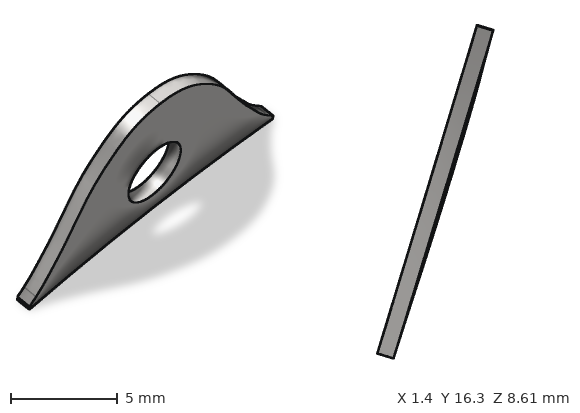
import cadquery as cq
import math

width = 16.34
height = 8.58
thickness = 0.8
tilt_angle = 4.0

half_width = width / 2
base_rise = 0.41
end_height = 0.21
apex = (0, height)
shoulder_mid = (2.76, 7.58)
flank_top = (4.33, 5.96)
flank_bottom = (6.03, 3.07)
foot_mid = (6.93, 1.68)
foot_end = (7.76, 0.62)
bell_side = [shoulder_mid, flank_top, flank_bottom, foot_mid, foot_end]

hole_diameter = 3.5
hole_height = 3.25


def mirrored(point):
    """Reflect an outline point across the middle of the plate."""
    return (-point[0], point[1])


def plate_outline(plane):
    """Bell-shaped outline with short straight toes and a gently arched base."""
    toe_direction = (half_width - foot_end[0], end_height - foot_end[1])
    toe_direction_mirrored = (toe_direction[0], -toe_direction[1])
    level = (1, 0)
    rising_side = [mirrored(point) for point in reversed(bell_side[:-1])] + [apex]
    return (
        cq.Workplane(plane)
        .moveTo(-half_width, 0)
        .lineTo(-half_width, end_height)
        .lineTo(*mirrored(foot_end))
        .spline(rising_side, tangents=[toe_direction_mirrored, level], includeCurrent=True)
        .spline(bell_side, tangents=[level, toe_direction], includeCurrent=True)
        .lineTo(half_width, end_height)
        .lineTo(half_width, 0)
        .threePointArc((0, base_rise), (-half_width, 0))
        .close()
    )


tilt = math.radians(tilt_angle)
plate_plane = cq.Plane(
    origin=(0, 0, 0),
    xDir=(0, 1, 0),
    normal=(math.cos(tilt), 0, -math.sin(tilt)),
)

plate = plate_outline(plate_plane).extrude(thickness)
hole = (
    cq.Workplane(plate_plane)
    .center(0, hole_height)
    .circle(hole_diameter / 2)
    .extrude(thickness)
)
result = plate.cut(hole)